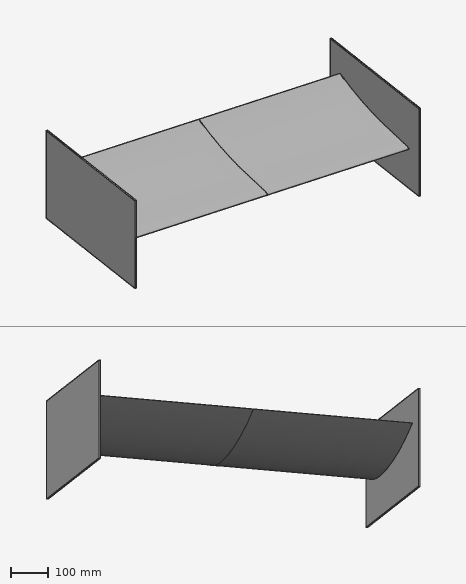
import cadquery as cq
import math

plate_length = 442.25
plate_height = 272.43
plate_thickness = 5.0

span = 900.0
panel_count = 2
panel_span = span / panel_count
plate_margin = 50.0
wing_length = plate_length - 2 * plate_margin
trailing_edge_z = 52.5
leading_edge_z = -13.7
chord = math.hypot(wing_length, trailing_edge_z - leading_edge_z)
incidence = math.atan2(trailing_edge_z - leading_edge_z, wing_length)

max_camber = 0.06
camber_position = 0.49
max_thickness = 0.061
stations_per_side = 14


def half_thickness(u):
    """NACA four-digit half thickness at chord fraction u, with a thin blunt trailing edge."""
    polynomial = 0.2969 * math.sqrt(u) - 0.1260 * u - 0.3516 * u**2 + 0.2843 * u**3 - 0.1015 * u**4
    return 5 * max_thickness * polynomial


def camber(u):
    """Height and slope angle of the camber line, a parabola each side of its peak."""
    reach = camber_position if u < camber_position else 1 - camber_position
    offset = (camber_position - u) / reach
    height = max_camber * (1 - offset**2)
    slope = 2 * max_camber * offset / reach
    return height, math.atan(slope)


def section_point(u, side):
    """XZ point on the suction (side = 1, underneath) or pressure (side = -1, on top) surface."""
    height, slope = camber(u)
    thickness = side * half_thickness(u)
    along = chord * (u - thickness * math.sin(slope))
    bulge = chord * (height + thickness * math.cos(slope))
    x = wing_length / 2 - along * math.cos(incidence) - bulge * math.sin(incidence)
    z = leading_edge_z + along * math.sin(incidence) - bulge * math.cos(incidence)
    return x, z


def wing_panel(y_start):
    """One wing panel reaching panel_span towards +Y from y_start."""
    stations = [(1 - math.cos(math.pi * i / stations_per_side)) / 2 for i in range(stations_per_side + 1)]
    suction = [section_point(u, 1) for u in reversed(stations)]
    pressure = [section_point(u, -1) for u in stations[1:]]
    outline = cq.Workplane("XZ", origin=(0, y_start, 0)).spline(suction + pressure).close()
    return outline.extrude(-panel_span)


def end_plate(y_start):
    """One flat end plate reaching plate_thickness towards +Y from y_start."""
    outline = cq.Workplane("XZ", origin=(0, y_start, 0)).rect(plate_length, plate_height)
    return outline.extrude(-plate_thickness)


wing_panels = [wing_panel(-span / 2 + i * panel_span) for i in range(panel_count)]
end_plates = [end_plate(y) for y in (-span / 2 - plate_thickness, span / 2)]

result = cq.Compound.makeCompound([body.val() for body in wing_panels + end_plates])